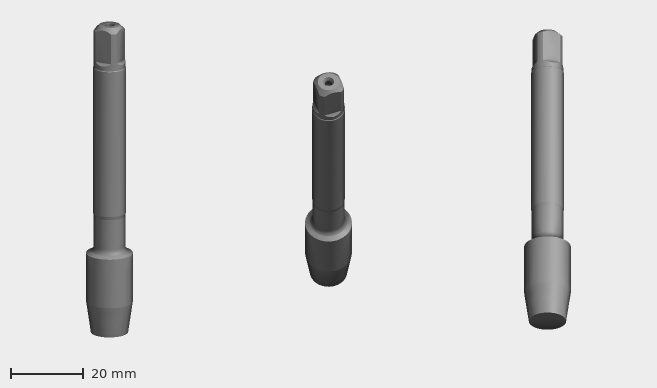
import cadquery as cq
import math

length = 88.5

head_radius = 12.8 / 2
tip_radius = 5.1
lead_length = 8.85
head_top = 22.6

shaft_radius = 9.0 / 2
neck_radius = 8.7 / 2
collar_rim = 0.3
collar_angle = 25
collar_inner_radius = 5.05
neck_bottom = 25.0
neck_top = 33.6
shaft_bottom = 34.5
shaft_top = 76.5
shaft_chamfer = shaft_radius - neck_radius
end_face_radius = 2.9
end_chamfer = neck_radius - end_face_radius

square_width = 7.2
flat_bottom = 78.5
runout_angle = 45

centre_hole_radius = 2.0 / 2
countersink_radius = 1.5
countersink_angle = 60
drill_point_angle = 120
centre_hole_depth = 2.65


def revolve_about_z(profile):
    """Turn a closed (radius, Z) profile about the Z axis."""
    return profile.close().revolve(360, (0, 0, 0), (0, 1, 0))


def make_head():
    profile = (
        cq.Workplane("XZ")
        .lineTo(tip_radius, 0)
        .lineTo(head_radius, lead_length)
        .lineTo(head_radius, head_top)
        .lineTo(0, head_top)
    )
    return revolve_about_z(profile)


def make_turned_shank():
    rim_top = head_top + collar_rim
    collar_rise = (head_radius - collar_inner_radius) * math.tan(math.radians(collar_angle))
    blend_width = collar_inner_radius - neck_radius
    blend_height = neck_bottom - rim_top - collar_rise
    blend_radius = (blend_width**2 + blend_height**2) / (2 * blend_width)
    profile = (
        cq.Workplane("XZ")
        .moveTo(0, head_top)
        .lineTo(head_radius, head_top)
        .lineTo(head_radius, rim_top)
        .lineTo(collar_inner_radius, rim_top + collar_rise)
        .radiusArc((neck_radius, neck_bottom), blend_radius)
        .lineTo(neck_radius, neck_top)
        .lineTo(shaft_radius, shaft_bottom)
        .lineTo(shaft_radius, shaft_top - shaft_chamfer)
        .lineTo(neck_radius, shaft_top)
        .lineTo(neck_radius, length - end_chamfer)
        .lineTo(end_face_radius, length)
        .lineTo(0, length)
    )
    return revolve_about_z(profile)


def make_flat_cutter():
    """Material removed on the +X side to leave one flat and its run-out slope."""
    flat_distance = square_width / 2
    cut_depth = shaft_radius - flat_distance
    runout_length = cut_depth / math.tan(math.radians(runout_angle))
    return (
        cq.Workplane("XZ")
        .moveTo(flat_distance, length)
        .lineTo(flat_distance, flat_bottom)
        .lineTo(shaft_radius, flat_bottom - runout_length)
        .lineTo(shaft_radius, length)
        .close()
        .extrude(shaft_radius, both=True)
    )


def make_centre_hole():
    countersink_depth = (countersink_radius - centre_hole_radius) / math.tan(
        math.radians(countersink_angle / 2)
    )
    point_depth = centre_hole_radius / math.tan(math.radians(drill_point_angle / 2))
    hole_bottom = length - centre_hole_depth
    profile = (
        cq.Workplane("XZ")
        .moveTo(0, length)
        .lineTo(countersink_radius, length)
        .lineTo(centre_hole_radius, length - countersink_depth)
        .lineTo(centre_hole_radius, hole_bottom)
        .lineTo(0, hole_bottom - point_depth)
    )
    return revolve_about_z(profile)


def make_shank():
    shank = make_turned_shank()
    flat_cutter = make_flat_cutter()
    for angle in (0, 90, 180, 270):
        shank = shank.cut(flat_cutter.rotate((0, 0, 0), (0, 0, 1), angle))
    return shank.cut(make_centre_hole())


head = make_head()
shank = make_shank()

result = cq.Compound.makeCompound([head.val(), shank.val()])